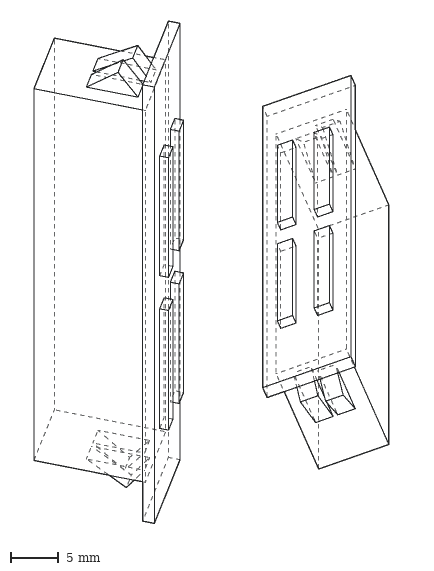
import cadquery as cq

plate_height = 64.0
plate_width = 10.0
plate_thickness = 1.3

body_depth = 12.15
body_width = 7.95
body_height = 54.5

pad_thickness = 0.95
pad_width = 1.7
pad_height = 17.55
pad_spacing_y = 4.15
pad_spacing_z = 22.4

clip_start_x = 5.25
clip_rise = 3.1
clip_width = 2.0
clip_gap = 0.5
short_clip_peak_x = 8.7
short_clip_end_x = 10.9
long_clip_peak_x = 9.6
long_clip_end_x = 11.6


def block(length, width, height, start_x):
    """Box centred on Y and Z whose left face is at start_x."""
    return cq.Workplane("XY").box(length, width, height, centered=(False, True, True)).translate((start_x, 0, 0))


def clip(peak_x, end_x, low_y):
    """Triangular clip on the top end of the body, extruded towards +Y from low_y."""
    base_z = body_height / 2
    return (
        cq.Workplane("XZ", origin=(0, low_y, 0))
        .moveTo(clip_start_x, base_z)
        .lineTo(peak_x, base_z + clip_rise)
        .lineTo(end_x, base_z)
        .close()
        .extrude(-clip_width)
    )


body = block(body_depth, body_width, body_height, 0)
plate = block(plate_thickness, plate_width, plate_height, body_depth)
result = body.union(plate)

pad = block(pad_thickness, pad_width, pad_height, body_depth + plate_thickness)
for side_y in (-1, 1):
    for side_z in (-1, 1):
        offset = (0, side_y * pad_spacing_y / 2, side_z * pad_spacing_z / 2)
        result = result.union(pad.translate(offset))

short_clip = clip(short_clip_peak_x, short_clip_end_x, -clip_gap / 2 - clip_width)
long_clip = clip(long_clip_peak_x, long_clip_end_x, clip_gap / 2)
for top_clip in (short_clip, long_clip):
    bottom_clip = top_clip.rotate((0, 0, 0), (1, 0, 0), 180)
    result = result.union(top_clip).union(bottom_clip)